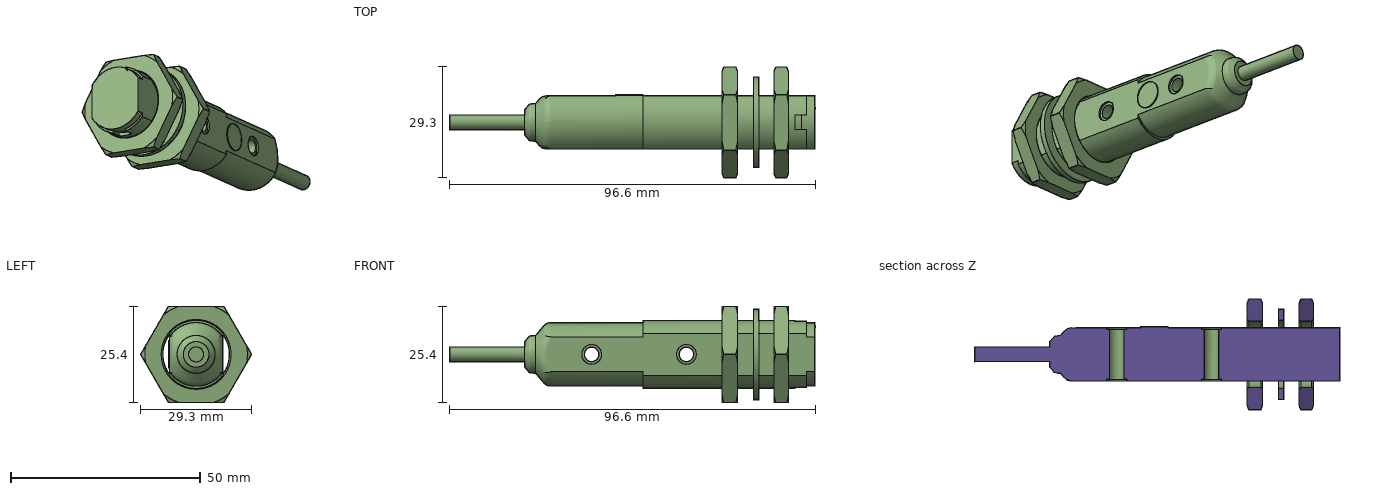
import cadquery as cq
import math


total_length = 96.6
tip_end = 96.4
boot_start = 19.8
boot_collar = 22.4
nose_end = 26.7
barrel_start = 51.1
barrel_end = 94.2

cable_diameter = 4.0
boot_face_diameter = 6.8
boot_shoulder_diameter = 9.8
boot_diameter = 10.0
boot_chamfer_length = 1.3
boot_blend = 0.8
housing_diameter = 16.8
barrel_diameter = 18.0
flat_width = 14.1

nose_angle = 50.0
nose_blend = 2.4

hole_positions = (37.5, 62.5)
hole_diameter = 3.8
hole_rim_diameter = 5.2
hole_rim_depth = 0.5

button_position = 47.4
button_diameter = 7.2
button_height = 0.3

nub_diameter = 0.4
nub_y = 3.8
nub_z = 7.2

notch_start = 91.1
notch_step = 92.9
notch_width = 3.9
notch_floor_diameter = 16.2

nut_positions = (71.9, 85.6)
nut_thicknesses = (4.2, 3.9)
nut_across_flats = 25.4
nut_corner_diameter = 29.3
nut_bore_diameter = 17.5
nut_bore_rim_diameter = 18.4
nut_face_diameter = 27.0
nut_corner_chamfer = 0.5

washer_position = 80.2
washer_thickness = 1.45
washer_diameter = 24.0


def rod(start, end, diameter):
    """Cylinder on the X axis between two X positions."""
    return cq.Workplane("YZ").workplane(offset=start).circle(diameter / 2).extrude(end - start)


def flats_block(start, end):
    """Block as wide as the flats and tall enough to contain the barrel."""
    length = end - start
    block = cq.Workplane("XY").box(length, flat_width, 2 * barrel_diameter)
    return block.translate((start + length / 2, 0, 0))


def make_nose():
    """Cone and a short housing length, with flats and blended front edges."""
    housing_radius = housing_diameter / 2
    tangent_length = nose_blend * math.tan(math.radians(nose_angle / 2))
    cone_end = nose_end - tangent_length
    cone_start_radius = boot_diameter / 2
    cone_start = cone_end - (housing_radius - cone_start_radius) / math.tan(math.radians(nose_angle))
    nose = (
        cq.Workplane("XZ")
        .moveTo(boot_collar, 0)
        .lineTo(boot_collar, cone_start_radius)
        .lineTo(cone_start, cone_start_radius)
        .lineTo(cone_end, housing_radius)
        .lineTo(barrel_start, housing_radius)
        .lineTo(barrel_start, 0)
        .close()
        .revolve(360, (0, 0, 0), (1, 0, 0))
    )
    nose = nose.intersect(flats_block(boot_collar, barrel_start))
    front_edges = cq.selectors.BoxSelector(
        ((cone_start + cone_end) / 2, -barrel_diameter, -barrel_diameter),
        (nose_end, barrel_diameter, barrel_diameter),
    )
    return nose.edges(front_edges).fillet(nose_blend)


def make_boot():
    """Cable grip with a blended front chamfer and a slight taper up to its collar."""
    shoulder = boot_start + boot_chamfer_length
    boot = (
        cq.Workplane("XZ")
        .moveTo(boot_start, 0)
        .lineTo(boot_start, boot_face_diameter / 2)
        .lineTo(shoulder, boot_shoulder_diameter / 2)
        .lineTo(boot_collar, boot_diameter / 2)
        .lineTo(boot_collar, 0)
        .close()
        .revolve(360, (0, 0, 0), (1, 0, 0))
    )
    shoulder_edge = cq.selectors.BoxSelector(
        (boot_start + boot_chamfer_length / 2, -boot_diameter, -boot_diameter),
        ((shoulder + boot_collar) / 2, boot_diameter, boot_diameter),
    )
    return boot.edges("%CIRCLE").edges(shoulder_edge).fillet(boot_blend)


def make_barrel():
    """Barrel and sensing tip with flats, and a two-step notch at the top and bottom of the end."""
    barrel = rod(barrel_start, barrel_end, barrel_diameter)
    tip = rod(barrel_start, tip_end, housing_diameter)
    notch_length = barrel_end - notch_start
    notch = (
        cq.Workplane("XY")
        .box(notch_length, notch_width, 2 * barrel_diameter)
        .translate((notch_start + notch_length / 2, 0, 0))
    )
    shallow_notch = notch.cut(rod(notch_start, barrel_end, housing_diameter))
    deep_notch = notch.intersect(rod(notch_start, notch_step, barrel_diameter))
    deep_notch = deep_notch.cut(rod(notch_start, notch_step, notch_floor_diameter))
    barrel = barrel.union(tip).cut(shallow_notch).cut(deep_notch)
    return barrel.intersect(flats_block(barrel_start, tip_end))


def make_cross_hole(position):
    """Through hole along Y with a shallow counterbore at both flats."""
    hole = cq.Workplane("XZ").circle(hole_diameter / 2).extrude(flat_width / 2, both=True)
    rims = cq.Workplane("XZ").circle(hole_rim_diameter / 2).extrude(flat_width / 2, both=True)
    rims = rims.cut(
        cq.Workplane("XZ").circle(hole_rim_diameter / 2).extrude(flat_width / 2 - hole_rim_depth, both=True)
    )
    return hole.union(rims).translate((position, 0, 0))


def make_button():
    """Low round button, extruded from the middle of the housing so that it joins it."""
    height = flat_width / 2 + button_height
    button = cq.Workplane("XZ").circle(button_diameter / 2).extrude(-height)
    return button.translate((button_position, 0, 0))


def make_nub():
    """Nub extruded from inside the tip so that it joins the sensing face."""
    return rod(barrel_end, total_length, nub_diameter).translate((0, nub_y, nub_z))


def make_sensor():
    """Cable, boot, housing and barrel as one solid."""
    cable = rod(0, boot_start, cable_diameter)
    sensor = make_nose().union(make_barrel()).union(make_boot()).union(cable)
    sensor = sensor.union(make_button()).union(make_nub())
    for position in hole_positions:
        sensor = sensor.cut(make_cross_hole(position))
    return sensor


def make_nut(position, thickness):
    """Hexagon nut with corners at +Y and -Y, chamfered corners and a chamfered bore."""
    end = position + thickness
    hexagon_diameter = nut_across_flats / math.cos(math.pi / 6)
    nut = cq.Workplane("YZ").workplane(offset=position).polygon(6, hexagon_diameter).extrude(thickness)

    corner_cut = (nut_corner_diameter - nut_face_diameter) / 2
    turned_blank = rod(position, end, nut_corner_diameter)
    turned_blank = turned_blank.faces("<X or >X").edges().chamfer(nut_corner_chamfer, corner_cut)
    nut = nut.intersect(turned_blank).cut(rod(position, end, nut_bore_diameter))

    rim_chamfer = (nut_bore_rim_diameter - nut_bore_diameter) / 2
    bore_edges = nut.faces("<X or >X").edges("%CIRCLE").edges(cq.selectors.RadiusNthSelector(0))
    return bore_edges.chamfer(rim_chamfer)


def make_washer():
    """Flat ring whose bore fits the barrel."""
    end = washer_position + washer_thickness
    return rod(washer_position, end, washer_diameter).cut(rod(washer_position, end, barrel_diameter))


sensor = make_sensor()
nuts = [
    make_nut(position, thickness).cut(sensor)
    for position, thickness in zip(nut_positions, nut_thicknesses)
]
washer = make_washer()

result = cq.Compound.makeCompound([sensor.val(), *[nut.val() for nut in nuts], washer.val()])